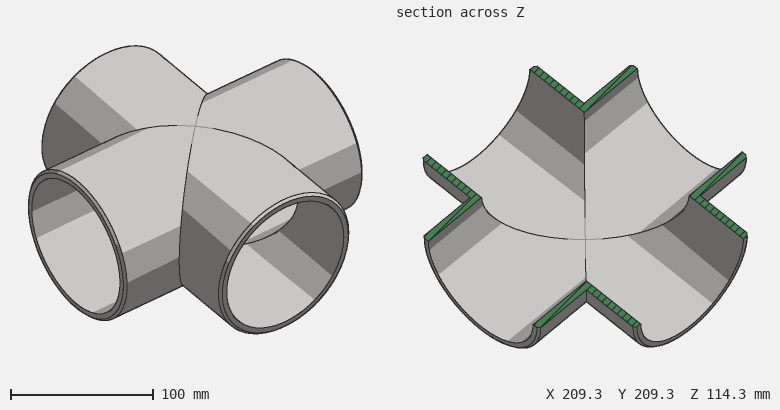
import cadquery as cq

length = 209.3
outer_diameter = 114.3
inner_diameter = 102.5
chamfer_size = 1.9

outer_radius = outer_diameter / 2
half_length = length / 2


def chamfered_rod():
    """Solid rod along X with its end edges chamfered."""
    rod = cq.Workplane("YZ").circle(outer_radius).extrude(half_length, both=True)
    return rod.faces("<X or >X").edges().chamfer(chamfer_size)


def bore():
    """Through bore along X."""
    return cq.Workplane("YZ").circle(inner_diameter / 2).extrude(half_length, both=True)


def crossed(body):
    """Join a body along X with its copy along Y."""
    return body.union(body.rotate((0, 0, 0), (0, 0, 1), 90))


result = crossed(chamfered_rod()).cut(crossed(bore()))